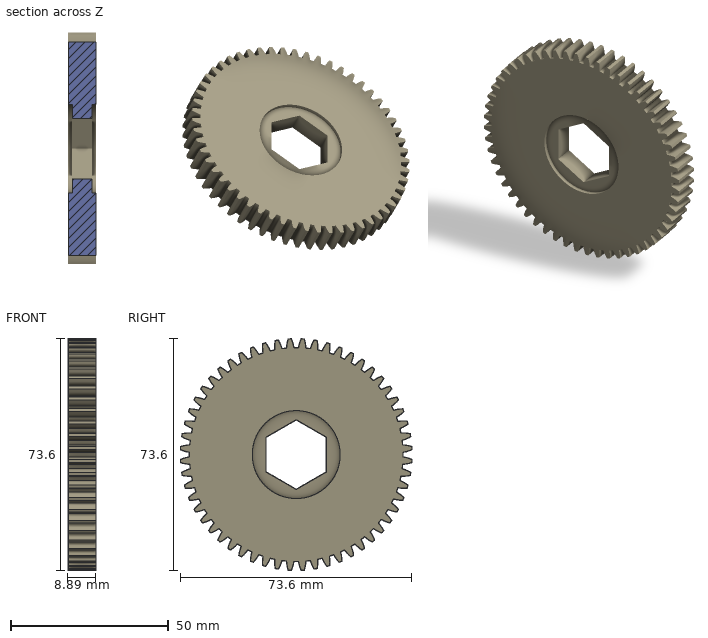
import cadquery as cq
import math

INCH = 25.4

tooth_count = 56
module = INCH / 20
face_width = 0.35 * INCH
dedendum_factor = 1.25

pitch_radius = module * tooth_count / 2
tip_radius = pitch_radius + module
root_radius = pitch_radius - dedendum_factor * module
tooth_pitch_angle = 2 * math.pi / tooth_count

root_thickness = 2.43
pitch_thickness = 1.84
tip_thickness = 1.02

hex_across_flats = 0.75 * INCH
hex_across_corners = hex_across_flats / math.cos(math.pi / 6)
recess_diameter = 1.1 * INCH
hub_width = 0.25 * INCH
recess_depth = (face_width - hub_width) / 2


def polar(radius, angle):
    """Point at a distance and angle from the gear axis."""
    return (radius * math.cos(angle), radius * math.sin(angle))


def gear_blank():
    """Toothed disc with arc flanks; +Y, -Y, +Z and -Z each point at the middle of a tooth gap."""
    root_half_angle = root_thickness / 2 / root_radius
    pitch_half_angle = pitch_thickness / 2 / pitch_radius
    tip_half_angle = tip_thickness / 2 / tip_radius

    outline = cq.Workplane("YZ", origin=(-face_width / 2, 0, 0))
    outline = outline.moveTo(*polar(root_radius, tooth_pitch_angle / 2 - root_half_angle))
    for tooth in range(tooth_count):
        centre = (tooth + 0.5) * tooth_pitch_angle
        gap_centre = centre + tooth_pitch_angle / 2
        next_tooth_start = centre + tooth_pitch_angle - root_half_angle
        outline = (
            outline
            .threePointArc(
                polar(pitch_radius, centre - pitch_half_angle), polar(tip_radius, centre - tip_half_angle)
            )
            .threePointArc(polar(tip_radius, centre), polar(tip_radius, centre + tip_half_angle))
            .threePointArc(
                polar(pitch_radius, centre + pitch_half_angle), polar(root_radius, centre + root_half_angle)
            )
            .threePointArc(polar(root_radius, gap_centre), polar(root_radius, next_tooth_start))
        )
    return outline.close().extrude(face_width)


def hex_bore():
    """Through bore with corners pointing along +Z and -Z."""
    bore = cq.Workplane("YZ", origin=(-face_width / 2, 0, 0))
    return bore.transformed(rotate=(0, 0, 90)).polygon(6, hex_across_corners).extrude(face_width)


def face_recess(start_x):
    """Round recess one recess depth deep, running towards +X from start_x."""
    recess = cq.Workplane("YZ", origin=(start_x, 0, 0))
    return recess.circle(recess_diameter / 2).extrude(recess_depth)


result = (
    gear_blank()
    .cut(hex_bore())
    .cut(face_recess(-face_width / 2))
    .cut(face_recess(hub_width / 2))
)